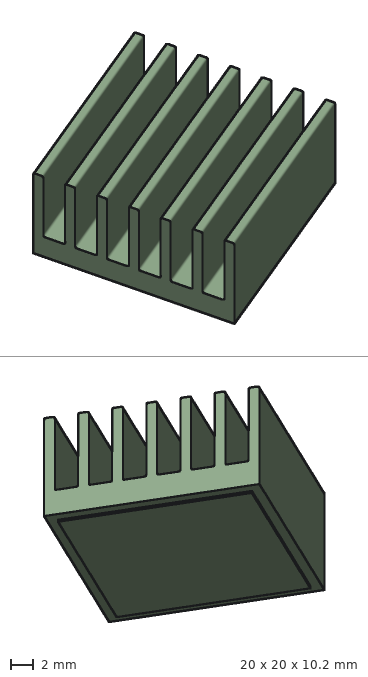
import cadquery as cq

sink_side = 20.0
sink_height = 10.0
base_thickness = 2.5
fin_count = 7
fin_thickness = 1.0
edge_radius = 0.2

pad_margin = 1.0
pad_thickness = 0.2
pad_side = sink_side - 2 * pad_margin

fin_height = sink_height - base_thickness
fin_pitch = (sink_side - fin_thickness) / (fin_count - 1)
channel_width = fin_pitch - fin_thickness


def make_channel(center_x):
    """Full-length channel between two fins, with rounded floor corners."""
    channel = cq.Workplane("XY").box(channel_width, sink_side, fin_height, centered=(True, True, False))
    channel = channel.faces("<Z").edges("|Y").fillet(edge_radius)
    return channel.translate((center_x, 0, base_thickness))


def make_heat_sink():
    """Block cut into parallel fins, with rounded long edges at the fin tips."""
    sink = cq.Workplane("XY").box(sink_side, sink_side, sink_height, centered=(True, True, False))
    first_channel_x = -sink_side / 2 + fin_thickness + channel_width / 2
    for index in range(fin_count - 1):
        sink = sink.cut(make_channel(first_channel_x + index * fin_pitch))
    return sink.faces(">Z").edges("|Y").fillet(edge_radius)


def make_pad():
    """Thin square pad against the underside of the heat sink."""
    pad = cq.Workplane("XY").box(pad_side, pad_side, pad_thickness, centered=(True, True, False))
    return pad.translate((0, 0, -pad_thickness))


heat_sink = make_heat_sink()
pad = make_pad()

result = cq.Compound.makeCompound([heat_sink.solids().val(), pad.val()])